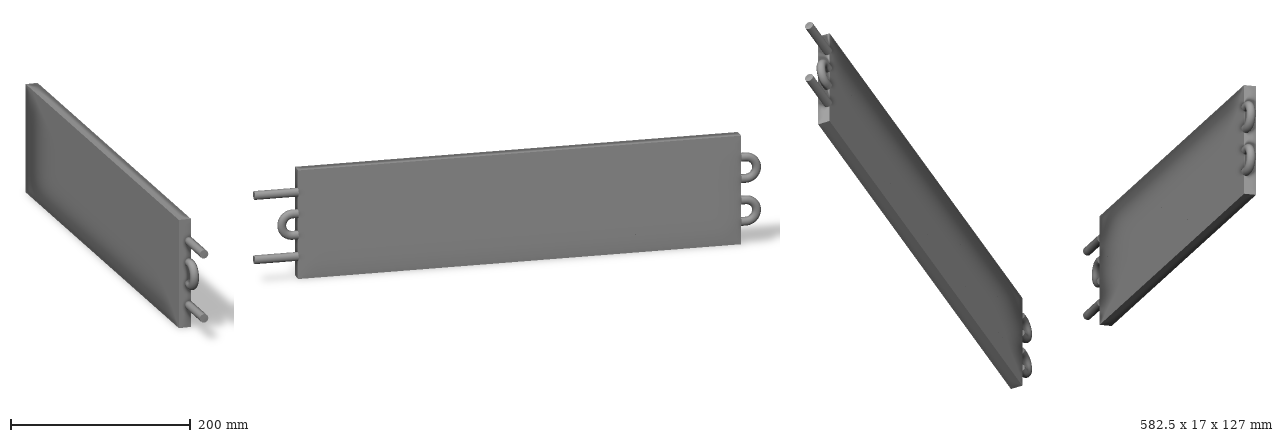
import cadquery as cq

PLATE_LENGTH = 509.0
PLATE_THICKNESS = 14.0
PLATE_HEIGHT = 127.0

TUBE_DIAMETER = 10.0
TUBE_PITCH = 25.0
BACK_PROTRUSION = 3.0
TOTAL_LENGTH = 582.5
LEFT_OVERHANG = 23.5
RIGHT_OVERHANG = 23.5

TUBE_RADIUS = TUBE_DIAMETER / 2
BEND_RADIUS = TUBE_PITCH / 2
CROWN_REACH = BEND_RADIUS + TUBE_RADIUS

TUBE_Y = PLATE_THICKNESS + BACK_PROTRUSION - TUBE_RADIUS
TUBE_END_X = TOTAL_LENGTH - LEFT_OVERHANG
LEFT_BEND_X = CROWN_REACH - LEFT_OVERHANG
RIGHT_BEND_X = PLATE_LENGTH + RIGHT_OVERHANG - CROWN_REACH
TOP_RUN_Z = 1.5 * TUBE_PITCH
RUN_HEIGHTS = [TOP_RUN_Z - i * TUBE_PITCH for i in range(4)]


def make_plate_blank():
    return cq.Workplane("XY").box(
        PLATE_LENGTH, PLATE_THICKNESS, PLATE_HEIGHT, centered=(False, False, True)
    )


def make_tube_path():
    """Four straight runs joined by half-circle bends, in a plane parallel to XZ."""
    z1, z2, z3, z4 = RUN_HEIGHTS
    left_crown_x = LEFT_BEND_X - BEND_RADIUS
    right_crown_x = RIGHT_BEND_X + BEND_RADIUS
    return (
        cq.Workplane("XZ", origin=(0, TUBE_Y, 0))
        .moveTo(TUBE_END_X, z1)
        .lineTo(LEFT_BEND_X, z1)
        .threePointArc((left_crown_x, (z1 + z2) / 2), (LEFT_BEND_X, z2))
        .lineTo(RIGHT_BEND_X, z2)
        .threePointArc((right_crown_x, (z2 + z3) / 2), (RIGHT_BEND_X, z3))
        .lineTo(LEFT_BEND_X, z3)
        .threePointArc((left_crown_x, (z3 + z4) / 2), (LEFT_BEND_X, z4))
        .lineTo(TUBE_END_X, z4)
    )


def make_round_tube():
    return (
        cq.Workplane("YZ", origin=(TUBE_END_X, TUBE_Y, TOP_RUN_Z))
        .circle(TUBE_RADIUS)
        .sweep(make_tube_path())
    )


def make_tube():
    """Serpentine tube, flattened flush with the back of the plate between its ends."""
    flush_cut = make_plate_blank().translate((0, PLATE_THICKNESS, 0))
    return make_round_tube().cut(flush_cut)


def make_plate(tube):
    """Plate with grooves, open at the back, that hold the tube runs."""
    return make_plate_blank().cut(tube)


tube = make_tube()
plate = make_plate(tube)

result = cq.Compound.makeCompound([plate.solids().val(), tube.solids().val()])